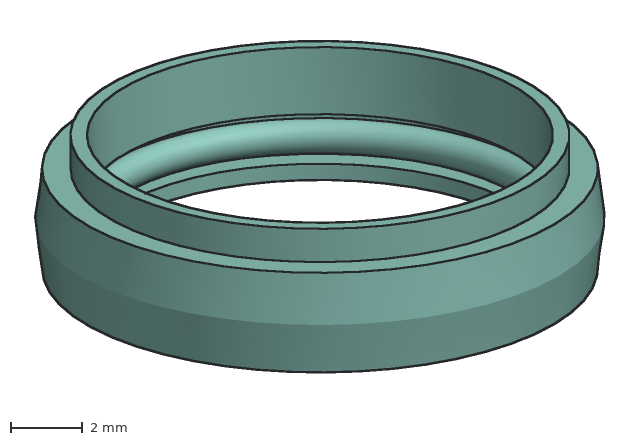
import cadquery as cq

max_radius = 7.95
band_end_radius = 7.76
neck_radius = 6.96
total_height = 4.0
band_height = 3.0
ridge_height = band_height / 2

bore_radius = 6.5
lip_height = 0.5
groove_height = 1.5

seal_inner_radius = 6.25
seal_section_radius = 0.5
seal_center_radius = seal_inner_radius + seal_section_radius
seal_center_height = lip_height + groove_height / 2

groove_radius = seal_center_radius + seal_section_radius


def make_disc(radius, base_height, height):
    """Solid round disc on the Z axis."""
    return cq.Workplane("XY").workplane(offset=base_height).circle(radius).extrude(height)


def make_housing():
    """Double-tapered band with a neck, a through bore and an internal groove."""
    outer = (
        cq.Workplane("XZ")
        .moveTo(0, 0)
        .lineTo(band_end_radius, 0)
        .lineTo(max_radius, ridge_height)
        .lineTo(band_end_radius, band_height)
        .lineTo(neck_radius, band_height)
        .lineTo(neck_radius, total_height)
        .lineTo(0, total_height)
        .close()
        .revolve(360, (0, 0, 0), (0, 1, 0))
    )
    bore = make_disc(bore_radius, 0, total_height)
    groove = make_disc(groove_radius, lip_height, groove_height)
    return outer.cut(bore).cut(groove)


def make_seal_ring():
    """Round-section ring seated in the groove."""
    return (
        cq.Workplane("XZ")
        .center(seal_center_radius, seal_center_height)
        .circle(seal_section_radius)
        .revolve(360, (-seal_center_radius, 0, 0), (-seal_center_radius, 1, 0))
    )


housing = make_housing()
seal_ring = make_seal_ring()

result = cq.Compound.makeCompound([housing.val(), seal_ring.val()])